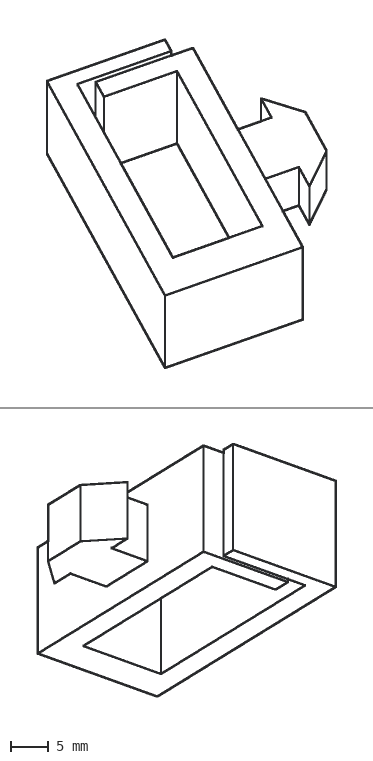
import cadquery as cq

length = 39.0
body_depth = 20.0
height = 16.0

front_wall = 3.5
back_wall = 3.5
right_wall = 5.4
outer_lip_thickness = 2.1
outer_lip_top = 17.15

lip_gap = 0.65
inner_lip_thickness = 2.7
inner_lip_end = 5.9

stud_height = 8.5
stem_width = 9.0
stem_length = 6.0
head_width = 16.0
head_tip_width = 7.05
head_length = 4.5

inner_lip_left = outer_lip_thickness + lip_gap
inner_lip_right = inner_lip_left + inner_lip_thickness
cavity_right = length - right_wall
cavity_back = body_depth - back_wall
head_base = body_depth + stem_length
head_tip = head_base + head_length


def make_loop():
    """Rectangular loop, split at the left by two overlapping lips."""
    outline = [
        (0, 0),
        (length, 0),
        (length, body_depth),
        (inner_lip_left, body_depth),
        (inner_lip_left, inner_lip_end),
        (inner_lip_right, inner_lip_end),
        (inner_lip_right, cavity_back),
        (cavity_right, cavity_back),
        (cavity_right, front_wall),
        (outer_lip_thickness, front_wall),
        (outer_lip_thickness, outer_lip_top),
        (0, outer_lip_top),
    ]
    return cq.Workplane("XY").polyline(outline).close().extrude(height)


def make_stud():
    """Stem and tapered head, centred on the body's length and height."""
    right_side = [
        (stem_width / 2, body_depth),
        (stem_width / 2, head_base),
        (head_width / 2, head_base),
        (head_tip_width / 2, head_tip),
    ]
    left_side = [(-x, y) for x, y in reversed(right_side)]
    stud = cq.Workplane("XY").polyline(right_side + left_side).close().extrude(stud_height)
    return stud.translate((length / 2, 0, (height - stud_height) / 2))


result = make_loop().union(make_stud())